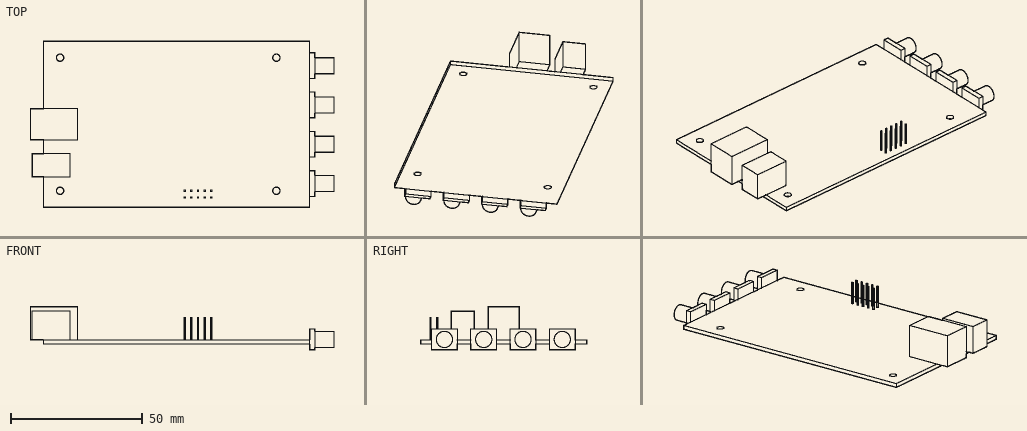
import cadquery as cq

board_length = 101.6
board_width = 63.5
board_thickness = 1.6

hole_diameter = 2.7
hole_inset = 6.35
hole_spacing_x = 82.55

connector_count = 4
connector_pitch = 15.0
first_connector_y = 9.1
connector_axis_z = 0.2
flange_thickness = 2.0
flange_width = 9.9
flange_height = 8.0
barrel_diameter = 6.2
barrel_length = 7.35

large_box_length = 18.0
large_box_width = 12.0
large_box_height = 12.75
large_box_overhang = 5.0
large_box_center_y = board_width / 2
small_box_length = 14.5
small_box_width = 8.9
small_box_height = 11.0
small_box_overhang = 4.3
small_box_center_y = 16.1

pin_columns = 5
pin_rows = 2
pin_pitch = 2.54
pin_size = 0.5
pin_height = 8.6
first_pin_x = 53.9
first_pin_y = 3.81


def make_board():
    """Flat board with a mounting hole near each corner."""
    board = (
        cq.Workplane("XY", origin=(0, 0, -board_thickness))
        .box(board_length, board_width, board_thickness, centered=False)
    )
    hole_points = [
        (x, y)
        for x in (hole_inset, hole_inset + hole_spacing_x)
        for y in (hole_inset, board_width - hole_inset)
    ]
    holes = (
        cq.Workplane("XY", origin=(0, 0, -board_thickness))
        .pushPoints(hole_points)
        .circle(hole_diameter / 2)
        .extrude(board_thickness)
    )
    return board.cut(holes)


def make_coaxial_connector(center_y):
    """Rectangular flange against the board's +X edge, with a round barrel pointing +X."""
    flange = (
        cq.Workplane("YZ", origin=(board_length, center_y, connector_axis_z))
        .rect(flange_width, flange_height)
        .extrude(flange_thickness)
    )
    barrel = (
        cq.Workplane("YZ", origin=(board_length + flange_thickness, center_y, connector_axis_z))
        .circle(barrel_diameter / 2)
        .extrude(barrel_length)
    )
    return flange.union(barrel)


def make_box_connector(length, width, height, overhang, center_y):
    """Block standing on the board and overhanging its -X edge."""
    return (
        cq.Workplane("XY")
        .box(length, width, height, centered=(False, True, False))
        .translate((-overhang, center_y, 0))
    )


def make_pins():
    """Grid of thin square pins standing on the board."""
    pin_points = [
        (first_pin_x + column * pin_pitch, first_pin_y + row * pin_pitch)
        for column in range(pin_columns)
        for row in range(pin_rows)
    ]
    return cq.Workplane("XY").pushPoints(pin_points).rect(pin_size, pin_size).extrude(pin_height)


result = make_board()
for index in range(connector_count):
    result = result.union(make_coaxial_connector(first_connector_y + index * connector_pitch))
result = result.union(
    make_box_connector(
        large_box_length, large_box_width, large_box_height, large_box_overhang, large_box_center_y
    )
)
result = result.union(
    make_box_connector(
        small_box_length, small_box_width, small_box_height, small_box_overhang, small_box_center_y
    )
)
result = result.union(make_pins())